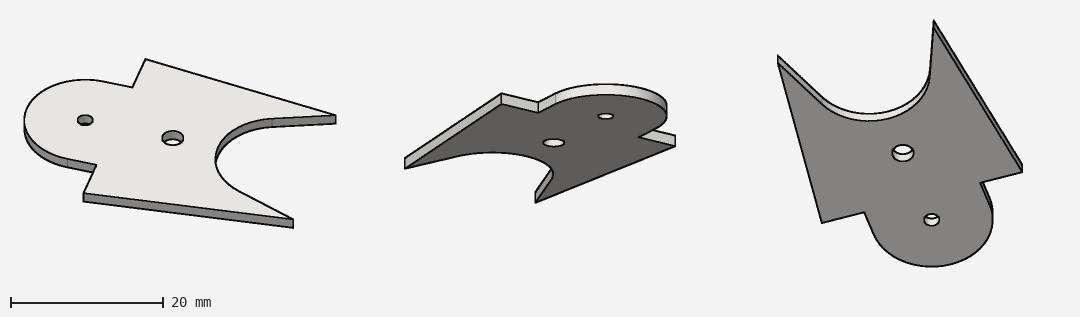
import cadquery as cq
import math

THICKNESS = 1.5
TILT_DEG = 5.0

HEAD_RADIUS = 8.0
PIVOT_HOLE_DIAMETER = 2.0

SHOULDER_X = 4.0
SHOULDER_HALF_WIDTH = 13.838
UPPER_TIP = (31.09, 10.55)
LOWER_TIP = (31.82, -10.73)
CENTRE_HOLE_X = 12.0
CENTRE_HOLE_DIAMETER = 2.8

NOTCH_CENTRE_X = 26.2
NOTCH_RADIUS = 8.0


def notch_tangent_point(tip):
    """Point where the straight side running in from a tip touches the notch arc."""
    tip_x, tip_y = tip
    tip_dx = tip_x - NOTCH_CENTRE_X
    tip_distance = math.hypot(tip_dx, tip_y)
    tip_angle = math.atan2(abs(tip_y), tip_dx)
    contact_angle = tip_angle + math.acos(NOTCH_RADIUS / tip_distance)
    return (
        NOTCH_CENTRE_X + NOTCH_RADIUS * math.cos(contact_angle),
        math.copysign(NOTCH_RADIUS * math.sin(contact_angle), tip_y),
    )


def make_plate():
    notch_bottom = (NOTCH_CENTRE_X - NOTCH_RADIUS, 0)
    return (
        cq.Workplane("XY")
        .moveTo(0, HEAD_RADIUS)
        .threePointArc((-HEAD_RADIUS, 0), (0, -HEAD_RADIUS))
        .lineTo(SHOULDER_X, -HEAD_RADIUS)
        .lineTo(SHOULDER_X, -SHOULDER_HALF_WIDTH)
        .lineTo(*LOWER_TIP)
        .lineTo(*notch_tangent_point(LOWER_TIP))
        .threePointArc(notch_bottom, notch_tangent_point(UPPER_TIP))
        .lineTo(*UPPER_TIP)
        .lineTo(SHOULDER_X, SHOULDER_HALF_WIDTH)
        .lineTo(SHOULDER_X, HEAD_RADIUS)
        .close()
        .extrude(THICKNESS)
    )


def make_through_hole(x, diameter):
    return cq.Workplane("XY").center(x, 0).circle(diameter / 2).extrude(THICKNESS)


plate = make_plate()
plate = plate.cut(make_through_hole(0, PIVOT_HOLE_DIAMETER))
plate = plate.cut(make_through_hole(CENTRE_HOLE_X, CENTRE_HOLE_DIAMETER))

result = plate.rotate((0, 0, 0), (0, 0, 1), TILT_DEG)